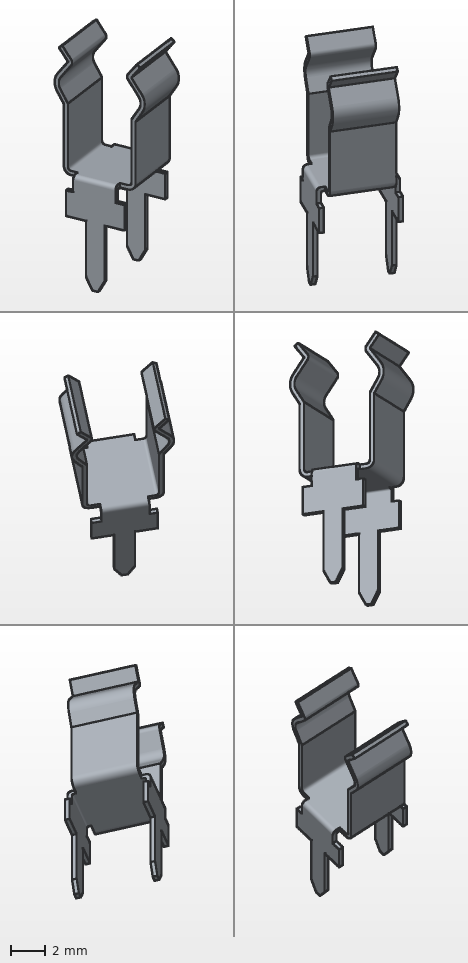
import cadquery as cq
import math

sheet = 0.29
total_height = 15.02
clip_width = 4.0
leg_span = 5.06
base_bottom = 6.8
base_top = base_bottom + sheet

wall_x = 2.4
bend_point = (wall_x, 11.3)
bulge_corner = (3.23, 12.6)
crest_point = (2.12, 14.07)
lip_angle = 52.0
base_inner_radius = 0.21
base_outer_radius = base_inner_radius + sheet
bulge_outer_radius = 0.99
bulge_inner_radius = bulge_outer_radius - sheet

neck_width = 2.84
neck_offset = -0.06
leg_inner_radius = 0.12
leg_outer_radius = 0.29
shoulder_width = 3.9
shoulder_top = 6.04
shoulder_bottom = 4.39
pin_width = 1.23
pin_taper_start = 0.78
pin_tip_width = 0.36


def offset_path(points, distance):
    """Offset an open path to its left with mitred corners."""
    angles = []
    for start, end in zip(points, points[1:]):
        angles.append(math.atan2(end[1] - start[1], end[0] - start[0]))
    befores = angles[:1] + angles
    afters = angles + angles[-1:]
    moved = []
    for (x, z), before, after in zip(points, befores, afters):
        normal = (before + after) / 2 + math.pi / 2
        reach = distance / math.cos((after - before) / 2)
        moved.append((x + reach * math.cos(normal), z + reach * math.sin(normal)))
    return moved


def round_edge(body, point, radius):
    """Round the edge along Y that passes through an XZ point."""
    x, z = point
    nearest = cq.selectors.NearestToPointSelector((x, 0, z))
    return body.edges("|Y").edges(nearest).fillet(radius)


def spring_arm():
    """Half of the base with the +X arm, bent from one strip."""
    angle = math.radians(lip_angle)
    lip_rise = total_height - sheet * math.cos(angle) - crest_point[1]
    lip_end = (crest_point[0] + lip_rise / math.tan(angle), crest_point[1] + lip_rise)
    outer = [(0, base_bottom), (wall_x, base_bottom), bend_point, bulge_corner, crest_point, lip_end]
    inner = offset_path(outer, sheet)
    arm = cq.Workplane("XZ").polyline(outer + inner[::-1]).close().extrude(clip_width / 2, both=True)
    arm = round_edge(arm, outer[1], base_outer_radius)
    arm = round_edge(arm, inner[1], base_inner_radius)
    arm = round_edge(arm, outer[3], bulge_outer_radius)
    arm = round_edge(arm, inner[3], bulge_inner_radius)
    return round_edge(arm, inner[4], sheet)


def leg_neck():
    """Both necks: a strip across the base, bent down at each end."""
    half_span = leg_span / 2
    neck = (
        cq.Workplane("XY")
        .box(neck_width, leg_span, base_top - shoulder_top, centered=(True, True, False))
        .edges("|X and >Z").fillet(leg_outer_radius)
    )
    under = (
        cq.Workplane("XY")
        .box(neck_width, 2 * (half_span - sheet), base_bottom - shoulder_top, centered=(True, True, False))
        .edges("|X and >Z").fillet(leg_inner_radius)
    )
    return neck.cut(under).translate((neck_offset, 0, shoulder_top))


def leg_blade():
    """Shoulder and pointed pin of the leg on the -Y side."""
    right_side = [
        (shoulder_width / 2, shoulder_top),
        (shoulder_width / 2, shoulder_bottom),
        (pin_width / 2, shoulder_bottom),
        (pin_width / 2, pin_taper_start),
        (pin_tip_width / 2, 0),
    ]
    left_side = [(-x, z) for x, z in reversed(right_side)]
    blade = cq.Workplane("XZ").polyline(right_side + left_side).close().extrude(sheet)
    return blade.translate((0, sheet - leg_span / 2, 0))


arm = spring_arm()
blade = leg_blade()
result = arm.union(arm.mirror("YZ")).union(leg_neck())
result = result.union(blade).union(blade.mirror("XZ")).clean()